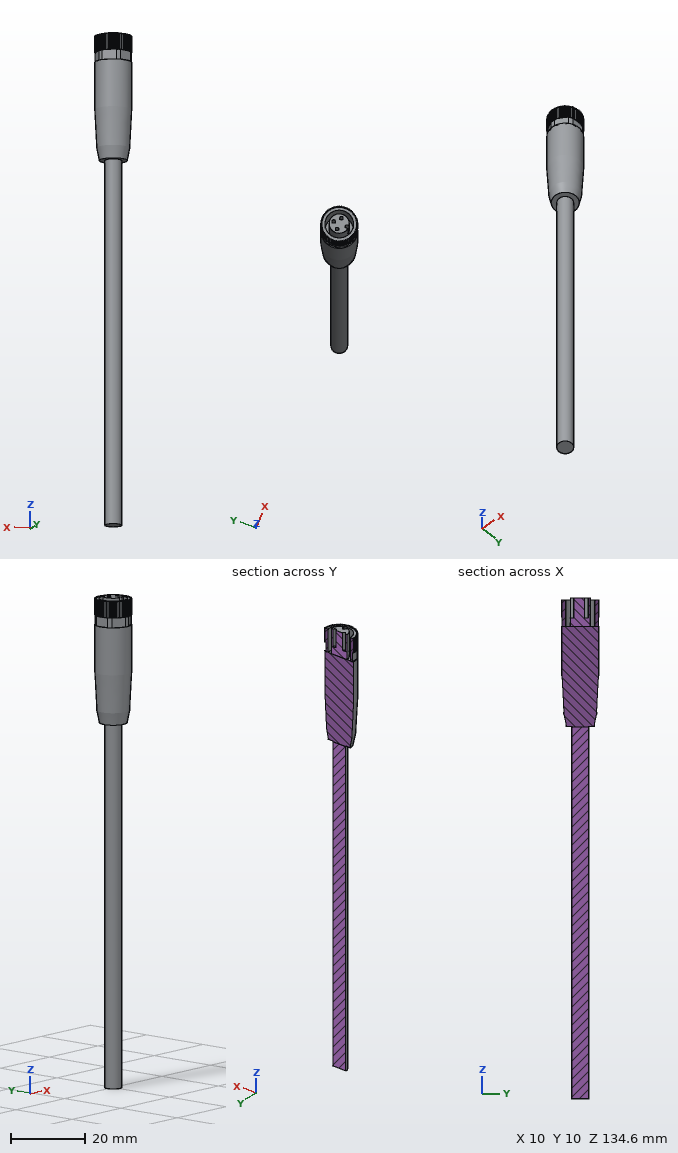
import cadquery as cq
import math

cable_length = 100.0
tail_length = 3.4
taper_length = 10.5
barrel_length = 13.0
hex_length = 2.7
knurl_length = 4.5
insert_length = 7.7

cable_radius = 2.3

grip_radius = 5.0
tail_top_radius = 4.5
tail_end_radius = 3.8

nut_radius = grip_radius
nut_bore_radius = 3.84
hex_sides = 6
hex_half_width = 4.6
knurl_depth = 0.34
knurl_count = 72

insert_radius = 2.7
contact_radius = 0.47
contact_pitch_radius = 1.6
contact_depth = 5.4
contact_angles = (0, 90, 180)
keyway_width = 1.0
keyway_depth = 1.0
keyway_length = contact_depth

tail_top = cable_length + tail_length
taper_top = tail_top + taper_length
grip_top = taper_top + barrel_length
knurl_base = grip_top + hex_length


def make_cable():
    """Plain round cable that ends at the underside of the grip."""
    return cq.Workplane("XY").circle(cable_radius).extrude(cable_length)


def make_grip():
    """Turned grip: a straight barrel, a slow taper and a steeper tail."""
    return (
        cq.Workplane("XZ")
        .moveTo(0, cable_length)
        .lineTo(tail_end_radius, cable_length)
        .lineTo(tail_top_radius, tail_top)
        .lineTo(grip_radius, taper_top)
        .lineTo(grip_radius, grip_top)
        .lineTo(0, grip_top)
        .close()
        .revolve(360, (0, 0, 0), (0, 1, 0))
    )


def make_knurled_ring():
    """Ring with straight V-shaped teeth all around its rim."""
    half_step = math.pi / knurl_count
    root_radius = nut_radius - knurl_depth
    points = []
    for i in range(2 * knurl_count):
        radius = nut_radius if i % 2 == 0 else root_radius
        points.append((radius * math.cos(i * half_step), radius * math.sin(i * half_step)))
    return cq.Workplane("XY").workplane(offset=knurl_base).polyline(points).close().extrude(knurl_length)


def make_nut():
    """Knurled ring above a hexagon with rounded-off corners, bored right through."""
    hex_diameter = 2 * hex_half_width / math.cos(math.pi / hex_sides)
    half_side_angle = 180 / hex_sides
    base = cq.Workplane("XY").workplane(offset=grip_top)
    hexagon = base.polygon(hex_sides, hex_diameter).extrude(hex_length)
    hexagon = hexagon.rotate((0, 0, 0), (0, 0, 1), half_side_angle)
    corner_limit = base.circle(nut_radius).extrude(hex_length)
    bore = base.circle(nut_bore_radius).extrude(hex_length + knurl_length)
    return hexagon.intersect(corner_limit).union(make_knurled_ring()).cut(bore)


def make_insert():
    """Round contact carrier with blind contact holes and a blind round-bottomed keyway on its -Y side."""
    base = cq.Workplane("XY").workplane(offset=grip_top)
    body = base.circle(insert_radius).extrude(insert_length)
    face = base.workplane(offset=insert_length)
    keyway = (
        face.center(0, -insert_radius)
        .slot2D(2 * keyway_depth, keyway_width, 90)
        .extrude(-keyway_length)
    )
    contact_places = [
        (
            contact_pitch_radius * math.cos(math.radians(angle)),
            contact_pitch_radius * math.sin(math.radians(angle)),
        )
        for angle in contact_angles
    ]
    contacts = face.pushPoints(contact_places).circle(contact_radius).extrude(-contact_depth)
    return body.cut(keyway).cut(contacts)


cable = make_cable()
grip = make_grip()
nut = make_nut()
insert = make_insert()

result = cq.Compound.makeCompound([cable.val(), grip.val(), nut.val(), insert.val()])